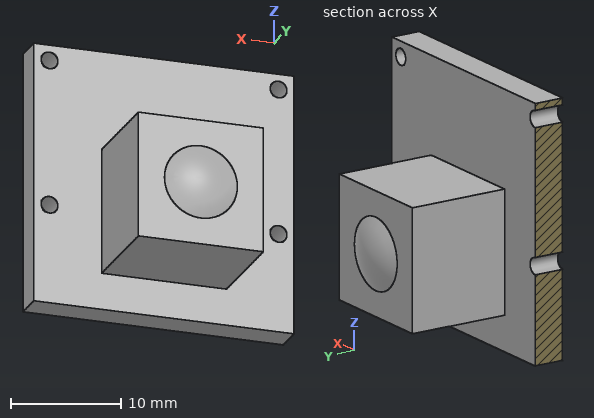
import cadquery as cq
import math

plate_side = 25.0
plate_thickness = 3.0

housing_side = 12.0
housing_depth = 10.0
housing_center_z = -3.0

lens_radius = 3.5
lens_height = 1.0

hole_diameter = 1.6
hole_edge_inset = 1.5
hole_x = plate_side / 2 - hole_edge_inset
upper_hole_z = plate_side / 2 - hole_edge_inset
lower_hole_z = housing_center_z

housing_end_y = plate_thickness + housing_depth


def make_plate():
    """Plate with four through holes."""
    plate = cq.Workplane("XY").box(
        plate_side, plate_thickness, plate_side, centered=(True, False, True)
    )
    hole_centers = [(x, z) for x in (-hole_x, hole_x) for z in (lower_hole_z, upper_hole_z)]
    holes = (
        cq.Workplane("XZ")
        .pushPoints(hole_centers)
        .circle(hole_diameter / 2)
        .extrude(-plate_thickness)
    )
    return plate.cut(holes)


def make_housing():
    """Square block rising from the back face of the plate."""
    return (
        cq.Workplane("XY")
        .box(housing_side, housing_depth, housing_side, centered=(True, False, True))
        .translate((0, plate_thickness, housing_center_z))
    )


def make_lens():
    """Shallow spherical cap, revolved about the housing axis (parallel to Y)."""
    sphere_radius = (lens_radius**2 + lens_height**2) / (2 * lens_height)
    sphere_center_y = housing_end_y + lens_height - sphere_radius
    half_angle = math.asin(lens_radius / sphere_radius) / 2
    arc_middle = (
        sphere_radius * math.sin(half_angle),
        sphere_center_y + sphere_radius * math.cos(half_angle),
    )
    return (
        cq.Workplane("XY")
        .moveTo(0, housing_end_y)
        .lineTo(lens_radius, housing_end_y)
        .threePointArc(arc_middle, (0, housing_end_y + lens_height))
        .close()
        .revolve(360, (0, 0, 0), (0, 1, 0))
        .translate((0, 0, housing_center_z))
    )


result = make_plate().union(make_housing()).union(make_lens())